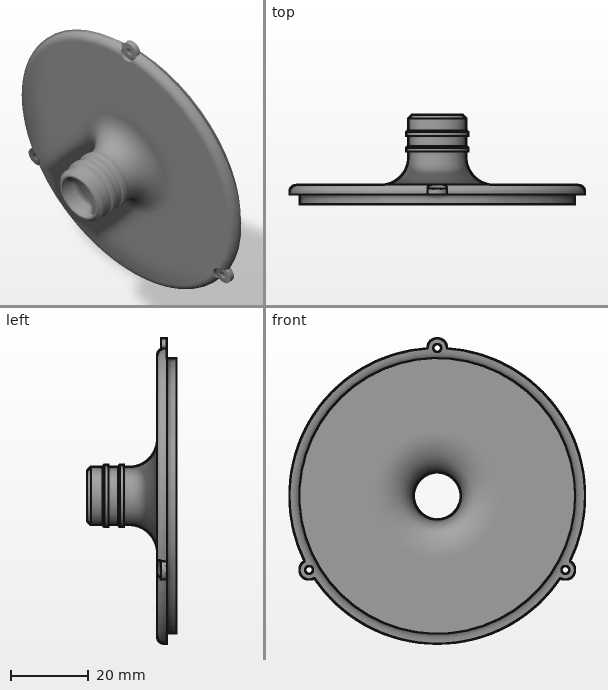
import cadquery as cq
import math

total_depth = 23.0
front_y = -total_depth / 2
back_y = total_depth / 2

step_diameter = 70.8
step_depth = 2.5
flange_diameter = 76.0
flange_thickness = 2.5
rim_land = 0.55
rim_round = flange_thickness - rim_land
flange_front_y = front_y + step_depth
flange_back_y = flange_front_y + flange_thickness

bore_diameter = 12.0
mouth_radius = 10.0

spigot_diameter = 15.0
spigot_fillet = 7.0
tip_chamfer = 1.0

barb_diameter = 16.0
barb_offsets_from_tip = (4.0, 8.0)
barb_cone_length = 0.5
barb_length = 1.5

lug_count = 3
lug_radius = 2.5
lug_thickness = 1.5
screw_hole_diameter = 2.0
first_lug_angle = 90

outward_back = 45
inward_front = 225


def arc_middle(center_r, center_y, radius, angle):
    """Point on an arc in the (radius, Y) half-plane."""
    direction = math.radians(angle)
    return (center_r + radius * math.cos(direction), center_y + radius * math.sin(direction))


def make_body():
    """Flange, step, filleted spigot and flared bore as one revolved profile."""
    bore_r = bore_diameter / 2
    step_r = step_diameter / 2
    flange_r = flange_diameter / 2
    spigot_r = spigot_diameter / 2
    mouth_r = bore_r + mouth_radius
    mouth_end_y = front_y + mouth_radius
    round_r = flange_r - rim_round
    round_y = flange_back_y - rim_round
    fillet_r = spigot_r + spigot_fillet
    fillet_y = flange_back_y + spigot_fillet
    profile = (
        cq.Workplane("XY")
        .moveTo(mouth_r, front_y)
        .lineTo(step_r, front_y)
        .lineTo(step_r, flange_front_y)
        .lineTo(flange_r, flange_front_y)
        .lineTo(flange_r, round_y)
        .threePointArc(arc_middle(round_r, round_y, rim_round, outward_back), (round_r, flange_back_y))
        .lineTo(fillet_r, flange_back_y)
        .threePointArc(arc_middle(fillet_r, fillet_y, spigot_fillet, inward_front), (spigot_r, fillet_y))
        .lineTo(spigot_r, back_y - tip_chamfer)
        .lineTo(spigot_r - tip_chamfer, back_y)
        .lineTo(bore_r, back_y)
        .lineTo(bore_r, mouth_end_y)
        .threePointArc(arc_middle(mouth_r, mouth_end_y, mouth_radius, inward_front), (mouth_r, front_y))
        .close()
    )
    return profile.revolve(360, (0, 0, 0), (0, 1, 0))


def make_barb(offset_from_tip):
    """One ring around the spigot, rooted halfway through its wall."""
    spigot_r = spigot_diameter / 2
    root_r = (bore_diameter / 2 + spigot_r) / 2
    barb_r = barb_diameter / 2
    tip_side_y = back_y - offset_from_tip
    return (
        cq.Workplane("XY")
        .moveTo(root_r, tip_side_y)
        .lineTo(spigot_r, tip_side_y)
        .lineTo(barb_r, tip_side_y - barb_cone_length)
        .lineTo(barb_r, tip_side_y - barb_length)
        .lineTo(root_r, tip_side_y - barb_length)
        .close()
        .revolve(360, (0, 0, 0), (0, 1, 0))
    )


def disc_at_lugs(radius, start_y, end_y):
    """Equal discs along Y, one at every lug position."""
    return (
        cq.Workplane("XZ", origin=(0, start_y, 0))
        .polarArray(flange_diameter / 2, first_lug_angle, 360, lug_count)
        .circle(radius)
        .extrude(start_y - end_y)
    )


result = make_body()
for barb_offset in barb_offsets_from_tip:
    result = result.union(make_barb(barb_offset))

lug_back_y = flange_front_y + lug_thickness
result = result.cut(disc_at_lugs(lug_radius, lug_back_y, flange_back_y))
result = result.union(disc_at_lugs(lug_radius, flange_front_y, lug_back_y))
result = result.cut(disc_at_lugs(screw_hole_diameter / 2, flange_front_y, lug_back_y))